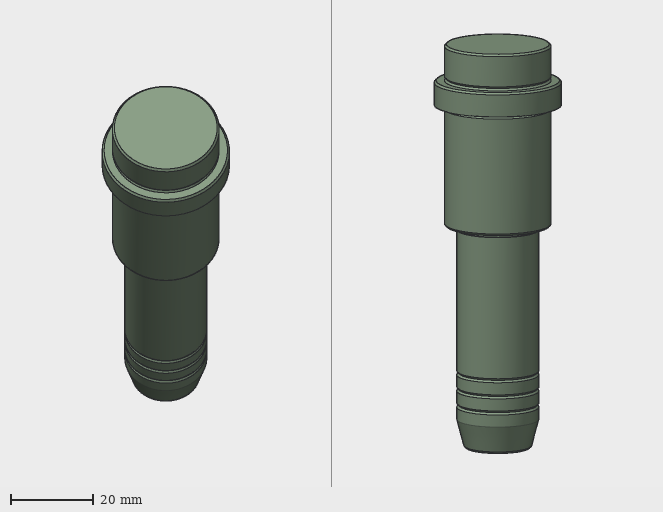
import cadquery as cq

total_length = 100.0
edge_chamfer = 0.5

body_radius = 13.0
body_bottom = 55.0
collar_radius = 15.5
collar_bottom = 85.0
collar_height = 6.0
collar_top = collar_bottom + collar_height

shank_radius = 10.0
tip_height = 7.0
tip_radius = 8.3
tip_chamfer = 0.5

groove_width = 1.0
groove_depth = 0.5
oil_groove_count = 3
oil_groove_pitch = 4.0
first_oil_groove_bottom = 10.0


def cylinder(radius, bottom, top):
    """Solid cylinder on the Z axis between two heights."""
    return cq.Workplane("XY").workplane(offset=bottom).circle(radius).extrude(top - bottom)


def v_groove(radius, bottom):
    """Ring that cuts a V-shaped groove into a cylinder of the given radius."""
    return (
        cq.Workplane("XZ")
        .moveTo(radius + groove_depth, bottom)
        .lineTo(radius, bottom)
        .lineTo(radius - groove_depth, bottom + groove_width / 2)
        .lineTo(radius, bottom + groove_width)
        .lineTo(radius + groove_depth, bottom + groove_width)
        .close()
        .revolve(360, (0, 0, 0), (0, 1, 0))
    )


tip = (
    cq.Workplane("XZ")
    .moveTo(0, 0)
    .lineTo(tip_radius - tip_chamfer, 0)
    .lineTo(tip_radius, tip_chamfer)
    .lineTo(shank_radius, tip_height)
    .lineTo(0, tip_height)
    .close()
    .revolve(360, (0, 0, 0), (0, 1, 0))
)

neck_bottom = body_bottom - groove_width
neck = cylinder(shank_radius - groove_depth, neck_bottom, body_bottom)
shank = cylinder(shank_radius, tip_height, neck_bottom).union(neck)
for index in range(oil_groove_count):
    shank = shank.cut(v_groove(shank_radius, first_oil_groove_bottom + index * oil_groove_pitch))

body = cylinder(body_radius, body_bottom, total_length).faces("<Z or >Z").chamfer(edge_chamfer)
body = body.cut(v_groove(body_radius, collar_bottom - groove_width))
body = body.cut(v_groove(body_radius, collar_top))

collar = cylinder(collar_radius, collar_bottom, collar_top).faces(">Z").chamfer(edge_chamfer)

result = tip.union(shank).union(body).union(collar)